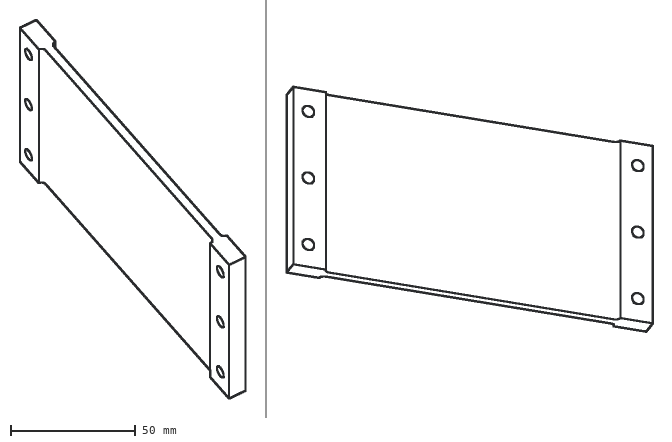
import cadquery as cq
import math

plate_length = 154.0
plate_height = 80.0
end_thickness = 8.0
web_thickness = 4.0
end_width = 14.0
tilt_angle = -30

hole_diameter = 5.0
hole_edge_distance = 6.5
hole_pitch = 30.0
holes_per_end = 3

step_depth = (end_thickness - web_thickness) / 2
fillet_radius = step_depth
hole_offset = plate_length / 2 - hole_edge_distance


def make_plan_outline():
    """Plan outline of the plate: thick ends blending into the thin web through concave quarter arcs."""
    half_length = plate_length / 2
    half_end = end_thickness / 2
    half_web = web_thickness / 2
    shoulder = half_length - end_width
    web_end = shoulder - fillet_radius
    arc_reach = fillet_radius * math.sqrt(0.5)
    arc_mid_x = web_end + arc_reach
    arc_mid_y = half_end - arc_reach
    return (
        cq.Workplane("XY")
        .moveTo(0, half_web)
        .lineTo(web_end, half_web)
        .threePointArc((arc_mid_x, arc_mid_y), (shoulder, half_end))
        .lineTo(half_length, half_end)
        .lineTo(half_length, 0)
        .mirrorX()
        .mirrorY()
    )


def make_holes():
    """A column of through holes in each thick end."""
    return (
        cq.Workplane("XZ")
        .rarray(2 * hole_offset, hole_pitch, 2, holes_per_end)
        .circle(hole_diameter / 2)
        .extrude(end_thickness, both=True)
    )


plate = make_plan_outline().extrude(plate_height / 2, both=True)
plate = plate.cut(make_holes())

result = plate.rotate((0, 0, 0), (0, 0, 1), tilt_angle)